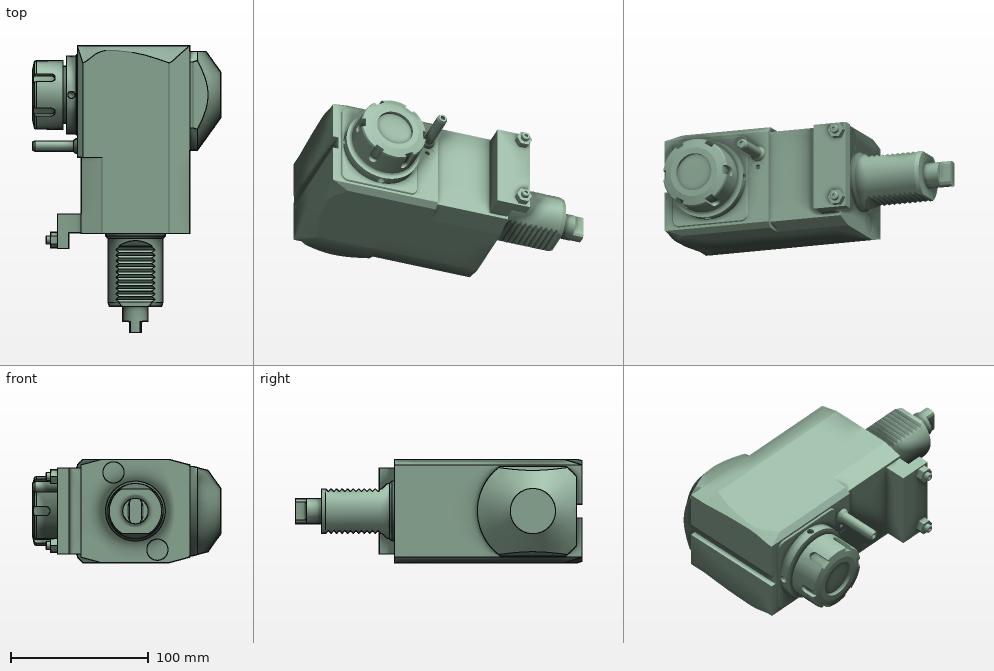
import cadquery as cq
import math


HALF_HEIGHT = 37.5
HOUSING_END = 136.25
HOUSING_SIDE = 39.4
SIDE_SLOPE_RUN = 15.0
EDGE_DROP = SIDE_SLOPE_RUN * math.tan(math.radians(15))
EDGE_Z = HALF_HEIGHT - EDGE_DROP
STEP_Y = 55.2
SPINDLE_SIDE = -42.0
SPINDLE_SIDE_CHAMFER = 3.9
END_SLOPE_LENGTH = 12.6
END_LEFT_SHOULDER = (-29.0, 35.5)
END_CREST = (-13.4, 36.35)
END_RIGHT_SHOULDER = (11.8, 34.85)
KEYWAY_WIDTH = 9.8
KEYWAY_DEPTH = 4.0
PLUG_RADIUS = 7.7
PLUG_RECESS = 0.3
PLUG_X = 15.9
PLUG_Z = 28.0

SPINDLE_Y = 100.5
PLATE_FACE = -43.2
PLATE_LENGTH = 58.4
PLATE_HEIGHT = 63.6
PLATE_CORNER = 5.0
PLATE_CHAMFER = 0.6
FLANGE_FACE = -50.0
FLANGE_RADIUS = 28.3
NECK_RADIUS = 20.8
NUT_BACK = -52.4
NUT_FACE = -74.6
NUT_RADIUS = 25.1
NUT_CONE_END = -73.2
NUT_CONE_RADIUS = 24.4
NUT_CHAMFER_END = -71.7
NUT_FACE_RADIUS = 18.1
BORE_RADIUS = 13.75
BORE_DEPTH = 3.0
NUT_SLOT_COUNT = 6
NUT_SLOT_WIDTH = 6.6
NUT_SLOT_FLOOR = 22.0
LONG_SLOT_END = -58.2
SHORT_SLOT_END = -61.9
SPANNER_HOLE_COUNT = 4
SPANNER_HOLE_RADIUS = 2.6
SPANNER_HOLE_DEPTH = 4.0
SPANNER_HOLE_X = -46.4

PIPE_Y = 63.4
PIPE_Z = 17.6
PIPE_RADIUS = 3.85
PIPE_END = NUT_FACE
PIPE_TIP_CHAMFER = 1.9
PIPE_SOCKET_DEPTH = 3.0
BALL_RADIUS = 5.8
BALL_SETBACK = 1.4
BALL_CENTRE_X = SPINDLE_SIDE + BALL_SETBACK
SCREW_PLUG_Z = 7.7
SCREW_PLUG_RADIUS = 5.8
SOCKET_ACROSS_CORNERS = 4.0

COVER_RADIUS = 40.25
COVER_RIM_X = 44.9
COVER_END_X = 62.0
COVER_END_RADIUS = 16.4
COVER_TOP_Y = 132.1
COVER_HALF_HEIGHT = 32.4
COVER_SLOPE_START = 41.7
COVER_SLOPE_DEGREES = 15

BRACKET_FACE = -56.5
BRACKET_INNER = -48.2
BRACKET_TOP_Y = 14.3
BRACKET_LEDGE_Y = 0.4
BRACKET_BOTTOM_Y = -10.9
BRACKET_HEIGHT = 62.6
STUD_Y = -4.7
STUD_Z = 25.0
STUD_RADIUS = 3.0
STUD_END = -64.8
STUD_CHAMFER = 0.5
STUD_SOCKET_DEPTH = 2.0
STUD_SOCKET_CORNERS = 3.0
HEX_END = -61.5
HEX_ACROSS_CORNERS = 11.5

SHANK_RADIUS = 20.0
SHANK_END = -52.8
SHANK_CHAMFER_LENGTH = 3.0
SHANK_CHAMFER = 1.0
COLLAR_RADIUS = 21.7
COLLAR_EDGE_Y = -1.7
COLLAR_END_Y = -3.6
FLAT_Z = 16.1
FLAT_START = -9.0
TOOTH_PITCH = 4.0
TOOTH_COUNT = 10
TOOTH_DEPTH = 1.9
GROOVE_WIDTH = 3.8
FIRST_TOOTH_Y = -11.75
DRIVE_RADIUS = 9.25
DRIVE_SHOULDER = -63.7
OVERALL_LENGTH = 208.0
DRIVE_END = HOUSING_END - OVERALL_LENGTH
TANG_ROOT_FILLET = 1.0
TANG_HALF_WIDTH = 4.3
TANG_FLAT_Z = 6.6
TANG_TIP_HALF_WIDTH = 3.2


def box(x0, x1, y0, y1, z0, z1):
    return cq.Workplane("XY").box(x1 - x0, y1 - y0, z1 - z0, centered=False).translate((x0, y0, z0))


def turned_x(points, y, z):
    """Solid of revolution about an X-parallel axis; points are (x, radius)."""
    profile = cq.Workplane("XY", origin=(0, y, z)).polyline(points).close()
    return profile.revolve(360, (0, 0), (1, 0))


def turned_y(points):
    """Solid of revolution about the Y axis; points are (radius, y)."""
    return cq.Workplane("XY").polyline(points).close().revolve(360, (0, 0), (0, 1))


def hex_x(x0, x1, y, z, across_corners):
    """Hexagonal prism along X with two corners pointing along Y."""
    plane = cq.Workplane("YZ", origin=(x0, y, z))
    return plane.polygon(6, across_corners).extrude(x1 - x0)


def socket_x(x0, depth, y, z, across_corners):
    """Hexagon socket cutter along X with two corners pointing along Z."""
    return hex_x(x0, x0 + depth, y, z, across_corners).rotate((0, y, z), (1, y, z), 30)


def mirrored_outline(upper, y0, y1):
    """Extrude along Y an outline given by its upper half, left to right, as (x, z)."""
    lower = [(x, -z) for x, z in reversed(upper)]
    return cq.Workplane("XZ", origin=(0, y0, 0)).polyline(upper + lower).close().extrude(y0 - y1)


def end_slope_cutter():
    """Oblique prism that slopes the top down toward the +Y end below a curved edge."""
    margin = 5.0
    rise = EDGE_DROP / END_SLOPE_LENGTH
    reach = 4 * END_SLOPE_LENGTH
    left = SPINDLE_SIDE - margin
    right = HOUSING_SIDE + margin
    top = HALF_HEIGHT + 2 * margin
    end_edge = [
        (SPINDLE_SIDE + SPINDLE_SIDE_CHAMFER, EDGE_Z),
        END_LEFT_SHOULDER,
        END_CREST,
        END_RIGHT_SHOULDER,
        (HOUSING_SIDE - SIDE_SLOPE_RUN, EDGE_Z),
    ]
    outline = (
        cq.Workplane("XZ", origin=(0, HOUSING_END, 0))
        .moveTo(left, top)
        .lineTo(left, EDGE_Z)
        .spline(end_edge + [(right, EDGE_Z)], tangents=[(1, 0), (1, 0)], includeCurrent=True)
        .lineTo(right, top)
        .close()
    )
    direction = cq.Vector(0, -reach, reach * rise)
    return cq.Workplane(cq.Solid.extrudeLinear(outline.val(), [], direction))


def housing():
    slope_start = HOUSING_SIDE - SIDE_SLOPE_RUN
    right_edge = [(slope_start, HALF_HEIGHT), (HOUSING_SIDE, EDGE_Z)]
    shank_half = [(-HOUSING_SIDE, EDGE_Z), (-slope_start, HALF_HEIGHT)] + right_edge
    spindle_half = [
        (SPINDLE_SIDE, HALF_HEIGHT - SPINDLE_SIDE_CHAMFER),
        (SPINDLE_SIDE + SPINDLE_SIDE_CHAMFER, HALF_HEIGHT),
    ] + right_edge
    body = mirrored_outline(shank_half, 0, STEP_Y)
    body = body.union(mirrored_outline(spindle_half, STEP_Y, HOUSING_END))
    cutter = end_slope_cutter()
    body = body.cut(cutter).cut(cutter.mirror("XY"))
    keyway = box(
        SPINDLE_SIDE, HOUSING_SIDE,
        HOUSING_END - KEYWAY_DEPTH, HOUSING_END,
        -KEYWAY_WIDTH / 2, KEYWAY_WIDTH / 2,
    )
    plugs = cq.Workplane("XZ").pushPoints([(-PLUG_X, PLUG_Z), (PLUG_X, -PLUG_Z)])
    return body.cut(keyway).cut(plugs.circle(PLUG_RADIUS).extrude(-PLUG_RECESS))


def cover():
    """Turned cone with a cut-off +Y side and sloping upper and lower faces."""
    turned = turned_x(
        [
            (HOUSING_SIDE, 0),
            (HOUSING_SIDE, COVER_RADIUS),
            (COVER_RIM_X, COVER_RADIUS),
            (COVER_END_X, COVER_END_RADIUS),
            (COVER_END_X, 0),
        ],
        SPINDLE_Y, 0,
    )
    slope_drop = (COVER_END_X - COVER_SLOPE_START) * math.tan(math.radians(COVER_SLOPE_DEGREES))
    half = [
        (HOUSING_SIDE, COVER_HALF_HEIGHT),
        (COVER_SLOPE_START, COVER_HALF_HEIGHT),
        (COVER_END_X, COVER_HALF_HEIGHT - slope_drop),
    ]
    return turned.intersect(mirrored_outline(half, SPINDLE_Y - COVER_RADIUS, COVER_TOP_Y))


def seal_plate():
    plate = cq.Workplane("YZ", origin=(SPINDLE_SIDE, SPINDLE_Y, 0)).rect(PLATE_LENGTH, PLATE_HEIGHT)
    plate = plate.extrude(PLATE_FACE - SPINDLE_SIDE)
    return plate.edges("|X").fillet(PLATE_CORNER).faces("<X").chamfer(PLATE_CHAMFER)


def nut_slot(angle):
    """Round-ended wrench slot, open at the nut face, turned to the given angle from +Y."""
    end = LONG_SLOT_END if angle % 180 else SHORT_SLOT_END
    half_width = NUT_SLOT_WIDTH / 2
    outline = (
        cq.Workplane("XZ", origin=(0, NUT_SLOT_FLOOR, 0))
        .moveTo(NUT_FACE, -half_width)
        .lineTo(end - half_width, -half_width)
        .threePointArc((end, 0), (end - half_width, half_width))
        .lineTo(NUT_FACE, half_width)
        .close()
    )
    slot = outline.extrude(NUT_SLOT_FLOOR - FLANGE_RADIUS)
    return slot.rotate((0, 0, 0), (1, 0, 0), angle).translate((0, SPINDLE_Y, 0))


def spanner_hole(angle):
    """Radial drilled hole with a conical floor, turned to the given angle from +Z."""
    floor = FLANGE_RADIUS - SPANNER_HOLE_DEPTH
    profile = [
        (0, floor - SPANNER_HOLE_RADIUS / 2),
        (SPANNER_HOLE_RADIUS, floor),
        (SPANNER_HOLE_RADIUS, FLANGE_RADIUS),
        (0, FLANGE_RADIUS),
    ]
    hole = cq.Workplane("XZ").polyline(profile).close().revolve(360, (0, 0), (0, 1))
    hole = hole.translate((SPANNER_HOLE_X, 0, 0))
    return hole.rotate((0, 0, 0), (1, 0, 0), angle).translate((0, SPINDLE_Y, 0))


def spindle_nose():
    nose = turned_x(
        [
            (SPINDLE_SIDE, 0),
            (SPINDLE_SIDE, NECK_RADIUS),
            (PLATE_FACE, NECK_RADIUS),
            (PLATE_FACE, FLANGE_RADIUS),
            (FLANGE_FACE, FLANGE_RADIUS),
            (FLANGE_FACE, NECK_RADIUS),
            (NUT_BACK, NECK_RADIUS),
            (NUT_BACK, NUT_RADIUS),
            (NUT_CHAMFER_END, NUT_RADIUS),
            (NUT_CONE_END, NUT_CONE_RADIUS),
            (NUT_FACE, NUT_FACE_RADIUS),
            (NUT_FACE, BORE_RADIUS),
            (NUT_FACE + BORE_DEPTH, BORE_RADIUS),
            (NUT_FACE + BORE_DEPTH, 0),
        ],
        SPINDLE_Y, 0,
    )
    for index in range(NUT_SLOT_COUNT):
        nose = nose.cut(nut_slot(index * 360 // NUT_SLOT_COUNT))
    for index in range(SPANNER_HOLE_COUNT):
        nose = nose.cut(spanner_hole(index * 360 / SPANNER_HOLE_COUNT))
    return nose


def coolant_pipe():
    """Pipe standing on a ball seat, with a hexagon socket in its tip."""
    pipe = turned_x(
        [
            (BALL_CENTRE_X, 0),
            (BALL_CENTRE_X, PIPE_RADIUS),
            (PIPE_END + PIPE_TIP_CHAMFER, PIPE_RADIUS),
            (PIPE_END, PIPE_RADIUS - PIPE_TIP_CHAMFER / 2),
            (PIPE_END, 0),
        ],
        PIPE_Y, PIPE_Z,
    )
    ball = cq.Workplane("XY").sphere(BALL_RADIUS).translate((BALL_CENTRE_X, PIPE_Y, PIPE_Z))
    socket = socket_x(PIPE_END, PIPE_SOCKET_DEPTH, PIPE_Y, PIPE_Z, SOCKET_ACROSS_CORNERS)
    return pipe.union(ball).cut(socket)


def screw_plug_recess():
    """Shallow round seat of the screw plug with its hexagon socket."""
    floor = SPINDLE_SIDE + PLUG_RECESS
    seat = cq.Workplane("YZ", origin=(SPINDLE_SIDE, PIPE_Y, SCREW_PLUG_Z))
    seat = seat.circle(SCREW_PLUG_RADIUS).extrude(PLUG_RECESS)
    socket = socket_x(floor, PIPE_SOCKET_DEPTH, PIPE_Y, SCREW_PLUG_Z, SOCKET_ACROSS_CORNERS)
    return seat.union(socket)


def stud_and_nut(z):
    nut = hex_x(BRACKET_FACE, HEX_END, STUD_Y, z, HEX_ACROSS_CORNERS)
    stud = turned_x(
        [
            (BRACKET_FACE, 0),
            (BRACKET_FACE, STUD_RADIUS),
            (STUD_END + STUD_CHAMFER, STUD_RADIUS),
            (STUD_END, STUD_RADIUS - STUD_CHAMFER),
            (STUD_END, 0),
        ],
        STUD_Y, z,
    )
    socket = socket_x(STUD_END, STUD_SOCKET_DEPTH, STUD_Y, z, STUD_SOCKET_CORNERS)
    return nut.union(stud).cut(socket)


def bracket():
    half = BRACKET_HEIGHT / 2
    foot = box(BRACKET_FACE, -HOUSING_SIDE, BRACKET_LEDGE_Y, BRACKET_TOP_Y, -half, half)
    arm = box(BRACKET_FACE, BRACKET_INNER, BRACKET_BOTTOM_Y, BRACKET_TOP_Y, -half, half)
    part = foot.union(arm)
    for z in (-STUD_Z, STUD_Z):
        part = part.union(stud_and_nut(z))
    return part


def serration_cutter():
    """Material above the upper serrated flat, including the V grooves."""
    top = SHANK_RADIUS + TOOTH_DEPTH
    half_groove = GROOVE_WIDTH / 2
    points = [(FLAT_START + top - FLAT_Z, top), (FLAT_START, FLAT_Z)]
    for index in range(TOOTH_COUNT):
        centre = FIRST_TOOTH_Y - index * TOOTH_PITCH
        points.append((centre + half_groove, FLAT_Z))
        points.append((centre, FLAT_Z - TOOTH_DEPTH))
        points.append((centre - half_groove, FLAT_Z))
    points.append((SHANK_END, FLAT_Z))
    points.append((SHANK_END, top))
    return cq.Workplane("YZ").polyline(points).close().extrude(SHANK_RADIUS, both=True)


def shank():
    body = turned_y(
        [
            (0, 0),
            (COLLAR_RADIUS, 0),
            (COLLAR_RADIUS, COLLAR_EDGE_Y),
            (SHANK_RADIUS, COLLAR_END_Y),
            (SHANK_RADIUS, SHANK_END + SHANK_CHAMFER_LENGTH),
            (SHANK_RADIUS - SHANK_CHAMFER, SHANK_END),
            (0, SHANK_END),
        ]
    )
    cutter = serration_cutter()
    return body.cut(cutter).cut(cutter.mirror("XY"))


def drive_tang():
    journal = turned_y(
        [(0, SHANK_END), (DRIVE_RADIUS, SHANK_END), (DRIVE_RADIUS, DRIVE_SHOULDER), (0, DRIVE_SHOULDER)]
    )
    round_end = turned_y(
        [(0, DRIVE_SHOULDER), (DRIVE_RADIUS, DRIVE_SHOULDER), (DRIVE_RADIUS, DRIVE_END), (0, DRIVE_END)]
    )
    half = [
        (-TANG_HALF_WIDTH, TANG_FLAT_Z),
        (-TANG_TIP_HALF_WIDTH, DRIVE_RADIUS),
        (TANG_TIP_HALF_WIDTH, DRIVE_RADIUS),
        (TANG_HALF_WIDTH, TANG_FLAT_Z),
    ]
    tang = round_end.intersect(mirrored_outline(half, DRIVE_END, DRIVE_SHOULDER))
    margin = 0.1
    root = cq.selectors.BoxSelector(
        (-TANG_HALF_WIDTH - margin, DRIVE_SHOULDER - margin, -margin),
        (TANG_HALF_WIDTH + margin, DRIVE_SHOULDER + margin, margin),
    )
    return journal.union(tang).edges(root).fillet(TANG_ROOT_FILLET)


result = housing().cut(screw_plug_recess())
for piece in (cover(), seal_plate(), spindle_nose(), coolant_pipe(), bracket(), shank(), drive_tang()):
    result = result.union(piece)